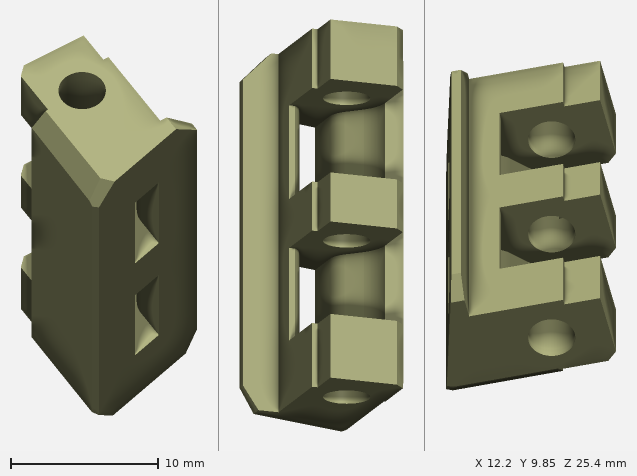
import cadquery as cq
import math

width = 12.21
depth = 9.85
height = 25.35

body_left = 4.13
front_rise = 0.08
tab_front = 1.4
tab_back = 6.9
tab_chamfer = 0.68
step_x = 2.48
body_back = 7.3
fin_left = 9.02
fin_right = 9.68
side_chamfer = 0.33

hole_x = 3.98
hole_y = 4.23
hole_diameter = 3.22

windows = [(4.5, 11.05), (14.52, 21.13)]

throat_x = 8.45
throat_front = 3.8
throat_back = 6.13
throat_radius = 1.9
funnel_angle = 45
mouth_x = 6.92
floor_radius = 2.75

front_top_depth = 1.2
front_top_drop = 1.17
front_bottom = 1.5
fin_top = 2.05
fin_bottom_depth = 1.11
fin_bottom_height = 1.62

top_inner = (11.05, front_top_depth, height)
top_side = (11.78, 1.82, height)
top_lower = (width, side_chamfer, 23.97)
bottom_inner = (11.4, front_bottom, 0)
bottom_side = (11.85, 1.67, 0)
bottom_upper = (width, side_chamfer, 1.35)

margin = 2.53


def make_blank():
    """Full-height block with tab, body and back fin."""
    outline = [
        (0, tab_front + tab_chamfer),
        (tab_chamfer, tab_front),
        (body_left, tab_front),
        (body_left, front_rise),
        (width - side_chamfer, 0),
        (width, side_chamfer),
        (fin_right, depth),
        (fin_left, depth),
        (fin_left, body_back),
        (step_x, body_back),
        (step_x, tab_back),
        (0, tab_back),
    ]
    return cq.Workplane("XY").polyline(outline).close().extrude(height)


def make_window(bottom, top):
    """Cutter that separates two tabs and opens a funnel through to the +X side."""
    half = math.sin(math.radians(funnel_angle / 2))
    half_cos = math.cos(math.radians(funnel_angle / 2))
    full = math.sin(math.radians(funnel_angle))
    full_cos = math.cos(math.radians(funnel_angle))

    arc_x = throat_x - throat_radius * full
    arc_rise = throat_radius * (1 - full_cos)
    mouth_rise = (arc_x - mouth_x) * math.tan(math.radians(funnel_angle))
    mid_x = throat_x - throat_radius * half
    mid_rise = throat_radius * (1 - half_cos)

    floor_end_x = body_left + floor_radius * full
    floor_end_y = tab_front + floor_radius * (1 - full_cos)
    floor_mid_x = body_left + floor_radius * half
    floor_mid_y = tab_front + floor_radius * (1 - half_cos)

    profile = (
        cq.Workplane("XY", origin=(0, 0, bottom))
        .moveTo(-margin, tab_front)
        .lineTo(body_left, tab_front)
        .threePointArc((floor_mid_x, floor_mid_y), (floor_end_x, floor_end_y))
        .lineTo(arc_x, throat_front - arc_rise)
        .threePointArc((mid_x, throat_front - mid_rise), (throat_x, throat_front))
        .lineTo(width + margin, throat_front)
        .lineTo(width + margin, throat_back)
        .lineTo(throat_x, throat_back)
        .threePointArc((mid_x, throat_back + mid_rise), (arc_x, throat_back + arc_rise))
        .lineTo(mouth_x, throat_back + arc_rise + mouth_rise)
        .lineTo(mouth_x, body_back + margin)
        .lineTo(-margin, body_back + margin)
        .close()
    )
    return profile.extrude(top - bottom)


def make_end_wedge(y_edge, y_end, z_edge, z_end, x_start):
    """Triangular cutter for an end chamfer, running along X from x_start."""
    slope = (z_end - z_edge) / (y_end - y_edge)
    overrun = math.copysign(margin, y_edge - y_end)
    corners = [
        (y_end, z_end),
        (y_edge + overrun, z_edge + slope * overrun),
        (y_edge + overrun, z_end),
    ]
    wedge = cq.Workplane("YZ", origin=(x_start, 0, 0)).polyline(corners).close()
    return wedge.extrude(width + margin - x_start)


def make_corner_cut(first, second, third):
    """Cutter resting on the plane through three points, listed counterclockwise from outside."""
    a, b, c = (cq.Vector(*point) for point in (first, second, third))
    plane = cq.Plane(origin=a, xDir=b - a, normal=(b - a).cross(c - a))
    return cq.Workplane(plane).rect(height, height).extrude(height)


result = make_blank()
result = result.cut(
    cq.Workplane("XY").center(hole_x, hole_y).circle(hole_diameter / 2).extrude(height)
)
for window_bottom, window_top in windows:
    result = result.cut(make_window(window_bottom, window_top))

result = result.cut(make_end_wedge(0, front_top_depth, height - front_top_drop, height, body_left))
result = result.cut(make_end_wedge(0, front_bottom, front_bottom, 0, body_left))
result = result.cut(make_end_wedge(depth, depth - fin_top, height - fin_top, height, fin_left))
result = result.cut(make_end_wedge(depth, depth - fin_bottom_depth, fin_bottom_height, 0, fin_left))

result = result.cut(make_corner_cut(top_inner, top_lower, top_side))
result = result.cut(make_corner_cut(bottom_inner, bottom_side, bottom_upper))